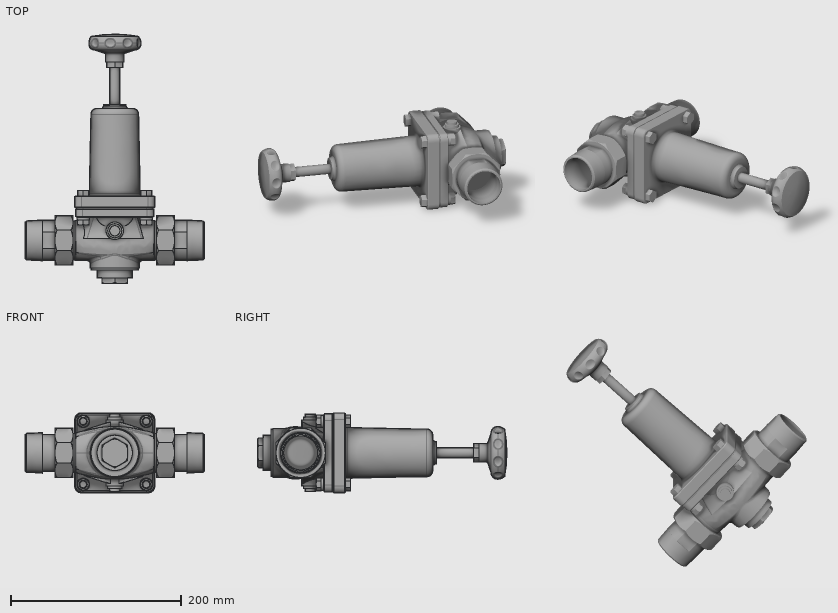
import cadquery as cq
import math


flange_side = 94.0
flange_corner = 8.0
bonnet_flange_top = 52.3
bonnet_flange_bottom = 38.1
body_flange_side = 92.0
body_flange_top = 36.5
body_flange_bottom = 27.0
flange_chamfer = 1.0
body_flange_bevel = 1.8
diaphragm_side = 90.0
bolt_pitch = 74.0
hex_across_flats = 13.0
bolt_head_height = 6.3
washer_diameter = 14.7
washer_thickness = 3.0
nut_height = 6.0
nut_bevel = 0.8
bolt_end_recess_diameter = 9.5
bolt_end_diameter = 8.0
bolt_end_recess_depth = 1.0

bonnet_base_diameter = 60.0
bonnet_top_diameter = 56.2
bonnet_shoulder_y = 147.6
bonnet_top_y = 155.0
bonnet_root_radius = 2.5
neck_base_diameter = 30.0
neck_diameter = 26.2
neck_flare_top_y = 157.7
neck_top_y = 159.4

port_x = 45.3
port_diameter = 47.0
port_ridge_angle = math.radians(37.0)
belly_half_height = 30.3
belly_ridge_y = -18.5
belly_ridge_z = 28.0
belly_lower_middle_y = -22.8
throat_diameter = 64.0
throat_bottom_y = 12.0
port_collar_x = 46.9
port_relief_diameter = 46.0
port_thread_diameter = 53.75
port_end_x = 60.0

chamber_bottom_y = 2.4
chamber_left_x = -43.0
chamber_right_x = 34.0
chamber_left_radius = 16.0
chamber_right_radius = 4.0
chamber_peak_half_width = 7.0
chamber_peak_z = 36.0
chamber_slope = 0.32
chamber_draft = 17.0

plug_y = 11.3
plug_boss_diameter = 20.5
plug_boss_z = 38.6
plug_collar_diameter = 16.5
plug_collar_z = 42.0
plug_head_diameter = 12.0
plug_head_z = 45.4

bowl_diameter = 57.6
bowl_top_y = 0.0
bowl_step_y = -32.5
bowl_end_diameter = 55.6
bowl_bottom_y = -35.0
bowl_blend_radius = 4.0
cap_diameter = 41.4
cap_bottom_y = -44.0
cap_hex_across_flats = 30.5
cap_hex_bottom_y = -50.66
cap_hex_bevel = 1.6

union_end_x = 105.0
tail_bore_diameter = 40.0
tail_end_diameter = 46.0
tail_end_chamfer = 1.6
tail_diameter = 47.9
tail_taper_x = 85.0
tail_neck_diameter = 47.7
wrench_flats_width = 43.6
union_nut_inner_x = 48.8
union_nut_outer_x = 70.3
union_nut_sides = 8
union_nut_across_flats = 58.0
union_nut_bevel = 2.5

spindle_diameter = 12.0
spindle_bottom_y = 140.0
lock_nut_across_flats = 19.0
lock_nut_bottom_y = 202.8
hub_bottom_y = 209.0
hub_diameter = 22.0
wheel_bottom_y = 219.4
wheel_top_y = 242.0
wheel_diameter = 62.0
hub_blend_radius = 1.0
wheel_underside_radius = 23.0
wheel_underside_edge_y = 223.2
wheel_lower_rim_radius = 29.3
wheel_lower_rim_y = 226.2
wheel_face_radius = 27.5
wheel_face_edge_y = 239.4
wheel_middle_y = 231.7
dimple_count = 9
dimple_diameter = 13.6
dimple_sphere_radius = 9.0
dimple_edge_radius = 0.6


def level(y):
    """Workplane across the spindle axis at height y, facing +Y, with local x along X."""
    return cq.Workplane(cq.Plane((0, y, 0), (1, 0, 0), (0, 1, 0)))


def y_cylinder(diameter, y_from, y_to):
    return level(y_from).circle(diameter / 2).extrude(y_to - y_from)


def y_hexagon(across_flats, y_from, y_to):
    """Hexagonal prism along Y with its flats facing +X and -X."""
    corner_diameter = across_flats / math.cos(math.pi / 6)
    turned = level(y_from).transformed(rotate=(0, 0, 30))
    return turned.polygon(6, corner_diameter).extrude(y_to - y_from)


def bevelled_hexagon(across_flats, y_from, y_to, bevel):
    """Hexagonal prism along Y whose corners are turned down at the -Y end."""
    envelope = y_cylinder(across_flats / math.cos(math.pi / 6), y_from, y_to)
    return y_hexagon(across_flats, y_from, y_to).intersect(envelope.faces("<Y").chamfer(bevel))


def rounded_plate(side, y_from, y_to):
    plate = level(y_from).rect(side, side).extrude(y_to - y_from)
    return plate.edges("|Y").fillet(flange_corner)


def belly_section(plane, height, ridge, lower_middle):
    """Section across the pipe: an arc over the top and bottom, and a lower face between two ridges."""
    ridge_y, ridge_z = ridge
    middle_y, middle_z = lower_middle
    half_width = port_diameter / 2
    return (
        plane.moveTo(half_width, 0)
        .threePointArc((0, height), (ridge_y, ridge_z))
        .threePointArc((middle_y, middle_z), (-half_width, 0))
        .threePointArc((middle_y, -middle_z), (ridge_y, -ridge_z))
        .threePointArc((0, -height), (half_width, 0))
        .close()
    )


def make_belly():
    """Pipe that swells from the round ports to a taller middle, with a ridge along each side."""
    port_radius = port_diameter / 2
    port_ridge = (
        -port_radius * math.sin(port_ridge_angle),
        port_radius * math.cos(port_ridge_angle),
    )
    lower_angle = (port_ridge_angle + math.pi / 2) / 2
    port_lower_middle = (-port_radius * math.sin(lower_angle), port_radius * math.cos(lower_angle))
    belly_ridge = (belly_ridge_y, belly_ridge_z)
    belly_lower_middle = (belly_lower_middle_y, belly_ridge_z / 2)

    start = cq.Workplane("YZ", origin=(-port_x, 0, 0))
    left = belly_section(start, port_radius, port_ridge, port_lower_middle)
    middle = belly_section(left.workplane(offset=port_x), belly_half_height, belly_ridge, belly_lower_middle)
    right = belly_section(middle.workplane(offset=port_x), port_radius, port_ridge, port_lower_middle)
    return right.loft()


def make_ports():
    collar = cq.Workplane("YZ").circle(port_diameter / 2).extrude(port_collar_x, both=True)
    relief = cq.Workplane("YZ").circle(port_relief_diameter / 2).extrude(port_end_x, both=True)
    thread = cq.Workplane("YZ").circle(port_thread_diameter / 2).extrude(port_end_x, both=True)
    gap = cq.Workplane("YZ").circle(port_thread_diameter).extrude(union_nut_inner_x, both=True)
    return collar.union(relief).union(thread.cut(gap))


def round_end(chamber, end_x, radius):
    """Round the two edges that run up the chamber at its end nearest to end_x."""
    half = chamber_peak_z
    end_box = cq.selectors.BoxSelector(
        (end_x / 2, chamber_bottom_y, -half), (end_x, body_flange_bottom, half)
    )
    end_edges = chamber.edges(end_box).edges("not |Z").edges("not #Y")
    return end_edges.fillet(radius)


def make_chamber():
    def edge_z(x):
        return chamber_peak_z - chamber_slope * (abs(x) - chamber_peak_half_width)

    upper = [
        (chamber_left_x, edge_z(chamber_left_x)),
        (-chamber_peak_half_width, chamber_peak_z),
        (chamber_peak_half_width, chamber_peak_z),
        (chamber_right_x, edge_z(chamber_right_x)),
    ]
    lower = [(x, -z) for x, z in reversed(upper)]
    height = body_flange_bottom - chamber_bottom_y
    outline = level(chamber_bottom_y).polyline(upper + lower).close()
    chamber = outline.extrude(height, taper=chamber_draft)
    chamber = round_end(chamber, chamber_left_x, chamber_left_radius)
    return round_end(chamber, chamber_right_x, chamber_right_radius)


def make_bowl():
    return y_cylinder(bowl_diameter, bowl_step_y, bowl_top_y)


def make_cap():
    bowl_end = y_cylinder(bowl_end_diameter, bowl_bottom_y, bowl_step_y)
    cap = y_cylinder(cap_diameter, cap_bottom_y, bowl_bottom_y)
    cap_hex = bevelled_hexagon(cap_hex_across_flats, cap_hex_bottom_y, cap_bottom_y, cap_hex_bevel)
    return bowl_end.union(cap).union(cap_hex)


def make_side_plug(side):
    """Plug in its boss, on the +Z side (side=1) or the -Z side (side=-1)."""
    base = cq.Workplane("XY", origin=(0, plug_y, 0))
    plug = base.circle(plug_boss_diameter / 2).extrude(side * plug_boss_z)
    plug = plug.union(base.circle(plug_collar_diameter / 2).extrude(side * plug_collar_z))
    return plug.union(base.circle(plug_head_diameter / 2).extrude(side * plug_head_z))


def make_bolt():
    """Bolt head above the bonnet flange; washer, nut and bolt end below the body flange."""
    washer_bottom_y = body_flange_bottom - washer_thickness
    nut_bottom_y = washer_bottom_y - nut_height
    head = y_hexagon(hex_across_flats, bonnet_flange_top, bonnet_flange_top + bolt_head_height)
    washer = y_cylinder(washer_diameter, washer_bottom_y, body_flange_bottom)
    nut = bevelled_hexagon(hex_across_flats, nut_bottom_y, washer_bottom_y, nut_bevel)
    recess_top_y = nut_bottom_y + bolt_end_recess_depth
    nut = nut.cut(y_cylinder(bolt_end_recess_diameter, nut_bottom_y, recess_top_y))
    bolt_end = y_cylinder(bolt_end_diameter, nut_bottom_y, recess_top_y)
    return head.union(washer).union(nut).union(bolt_end)


def make_bonnet():
    base_radius = bonnet_base_diameter / 2
    top_radius = bonnet_top_diameter / 2
    shoulder_radius = bonnet_top_y - bonnet_shoulder_y
    shoulder_diagonal = shoulder_radius * math.sqrt(0.5)
    neck_radius = neck_diameter / 2
    bonnet = (
        cq.Workplane("XY")
        .moveTo(0, bonnet_flange_top)
        .lineTo(base_radius + bonnet_root_radius, bonnet_flange_top)
        .radiusArc((base_radius, bonnet_flange_top + bonnet_root_radius), bonnet_root_radius)
        .lineTo(top_radius, bonnet_shoulder_y)
        .threePointArc(
            (
                top_radius - shoulder_radius + shoulder_diagonal,
                bonnet_shoulder_y + shoulder_diagonal,
            ),
            (top_radius - shoulder_radius, bonnet_top_y),
        )
        .lineTo(neck_base_diameter / 2, bonnet_top_y)
        .lineTo(neck_radius, neck_flare_top_y)
        .lineTo(neck_radius, neck_top_y)
        .lineTo(0, neck_top_y)
        .close()
        .revolve(360, (0, 0, 0), (0, 1, 0))
    )
    flange = rounded_plate(flange_side, bonnet_flange_bottom, bonnet_flange_top)
    flange = flange.faces("<Y or >Y").chamfer(flange_chamfer)
    return bonnet.union(flange)


def make_valve():
    valve = make_belly().union(make_bowl())
    around_bowl = cq.selectors.BoxSelector(
        (-bowl_diameter / 2, -port_diameter / 2, -bowl_diameter / 2),
        (bowl_diameter / 2, bowl_top_y, bowl_diameter / 2),
    )
    valve = valve.edges(around_bowl).edges("not %LINE").fillet(bowl_blend_radius)
    valve = valve.union(make_ports()).union(make_chamber())
    valve = valve.union(y_cylinder(throat_diameter, throat_bottom_y, body_flange_bottom))
    valve = valve.union(make_cap())
    flange = rounded_plate(body_flange_side, body_flange_bottom, body_flange_top)
    valve = valve.union(flange.faces("<Y").chamfer(flange_chamfer, body_flange_bevel))
    valve = valve.union(rounded_plate(diaphragm_side, body_flange_top, bonnet_flange_bottom))
    valve = valve.union(make_bonnet())
    for side in (1, -1):
        valve = valve.union(make_side_plug(side))
    bolt = make_bolt()
    for x in (-bolt_pitch / 2, bolt_pitch / 2):
        for z in (-bolt_pitch / 2, bolt_pitch / 2):
            valve = valve.union(bolt.translate((x, 0, z)))
    return valve.cut(y_cylinder(spindle_diameter, spindle_bottom_y, neck_top_y))


def make_union():
    """Union nut and threaded tailpiece on the +X port."""
    nut_length = union_nut_outer_x - union_nut_inner_x
    half_side_angle = 180 / union_nut_sides
    corner_diameter = union_nut_across_flats / math.cos(math.radians(half_side_angle))
    nut_plane = cq.Workplane("YZ", origin=(union_nut_inner_x, 0, 0))
    turned = nut_plane.transformed(rotate=(0, 0, half_side_angle))
    nut = turned.polygon(union_nut_sides, corner_diameter).extrude(nut_length)
    envelope = nut_plane.circle(corner_diameter / 2).extrude(nut_length)
    nut = nut.intersect(envelope.faces("<X or >X").chamfer(union_nut_bevel))

    tail = (
        cq.Workplane("XY")
        .moveTo(port_end_x, 0)
        .lineTo(port_end_x, tail_neck_diameter / 2)
        .lineTo(tail_taper_x, tail_neck_diameter / 2)
        .lineTo(tail_taper_x, tail_diameter / 2)
        .lineTo(union_end_x - tail_end_chamfer, tail_end_diameter / 2)
        .lineTo(union_end_x, tail_end_diameter / 2 - tail_end_chamfer)
        .lineTo(union_end_x, 0)
        .close()
        .revolve(360, (0, 0, 0), (1, 0, 0))
    )
    flats_length = tail_taper_x - union_nut_outer_x
    flats_x = (tail_taper_x + union_nut_outer_x) / 2
    blank = cq.Workplane("XY", origin=(flats_x, 0, 0)).box(flats_length, flange_side, flange_side)
    kept = cq.Workplane("XY", origin=(flats_x, 0, 0)).box(flats_length, flange_side, wrench_flats_width)
    tail = tail.cut(blank.cut(kept))

    socket = cq.Workplane("YZ").circle(port_thread_diameter / 2).extrude(port_end_x)
    bore = cq.Workplane("YZ").circle(tail_bore_diameter / 2).extrude(union_end_x)
    return nut.union(tail).cut(socket).cut(bore)


def make_handwheel():
    hub_radius = hub_diameter / 2
    wheel_radius = wheel_diameter / 2
    dome_rise = wheel_top_y - wheel_face_edge_y
    dome_radius = (wheel_face_radius**2 + dome_rise**2) / (2 * dome_rise)
    wheel = (
        cq.Workplane("XY")
        .moveTo(0, hub_bottom_y)
        .lineTo(hub_radius, hub_bottom_y)
        .lineTo(hub_radius, wheel_bottom_y - hub_blend_radius)
        .radiusArc((hub_radius + hub_blend_radius, wheel_bottom_y), hub_blend_radius)
        .lineTo(wheel_underside_radius, wheel_underside_edge_y)
        .threePointArc((wheel_lower_rim_radius, wheel_lower_rim_y), (wheel_radius, wheel_middle_y))
        .tangentArcPoint((wheel_face_radius, wheel_face_edge_y), relative=False)
        .radiusArc((0, wheel_top_y), -dome_radius)
        .close()
        .revolve(360, (0, 0, 0), (0, 1, 0))
    )
    sphere_rise = math.sqrt(dimple_sphere_radius**2 - (dimple_diameter / 2) ** 2)
    dimple = cq.Workplane("XY").sphere(dimple_sphere_radius)
    dimple = dimple.translate((-wheel_radius - sphere_rise, wheel_middle_y, 0))
    for index in range(dimple_count):
        angle = index * 360 / dimple_count
        wheel = wheel.cut(dimple.rotate((0, 0, 0), (0, 1, 0), angle))
    wheel = wheel.edges("%BSPLINE").fillet(dimple_edge_radius)

    wheel = wheel.union(y_hexagon(lock_nut_across_flats, lock_nut_bottom_y, hub_bottom_y))
    return wheel.union(y_cylinder(spindle_diameter, spindle_bottom_y, hub_bottom_y))


valve = make_valve()
unions = [make_union().rotate((0, 0, 0), (0, 0, 1), angle) for angle in (0, 180)]
handwheel = make_handwheel()

union_solids = [pipe_union.val() for pipe_union in unions]
result = cq.Compound.makeCompound([valve.val(), *union_solids, handwheel.val()])